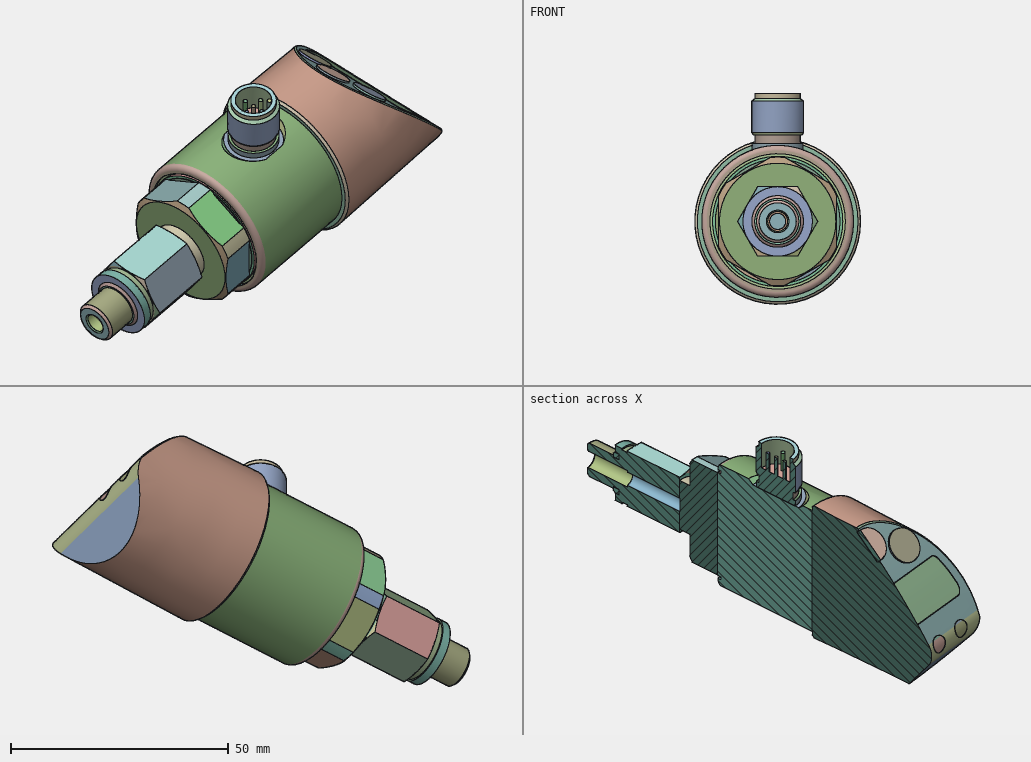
import cadquery as cq
import math


OVERALL_LENGTH = 103.25
FLANGE_START = 8.3
COLLAR_START = 10.4
ADAPTER_HEX_START = 11.9
NECK_START = 27.7
LARGE_HEX_START = 30.6
HOUSING_START = 39.1
HEAD_START = 67.35

PORT_RADIUS = 4.88
PORT_CHAMFER = 0.6
PORT_BORE_RADIUS = 2.3
PORT_BORE_CHAMFER = 0.3
PORT_BORE_DEPTH = 12.0
PILOT_BORE_RADIUS = 1.85
SEAL_GROOVE_RADIUS = 4.2
SEAL_GROOVE_DEPTH = 1.2
SEAL_RADIUS = 5.95
SEAL_LIP_RADIUS = 5.3
SEAL_PROTRUSION = 0.6
FLANGE_RADIUS = 8.0
COLLAR_RADIUS = 7.6
ADAPTER_HEX_FLATS = 16.0
ADAPTER_HEX_BEVEL_HEIGHT = 0.4

NECK_RADIUS = 7.1
LARGE_HEX_FLATS = 27.2
LARGE_HEX_CORNER_RADIUS = 14.8
LARGE_HEX_FACE_RADIUS = 13.4
LARGE_HEX_BEVEL_HEIGHT = 0.8
SHOULDER_RADIUS = 14.35
SHOULDER_HEIGHT = 0.15

HOUSING_RADIUS = 17.5
HOUSING_EDGE_RADIUS = 1.2
END_GROOVE_OUTER_RADIUS = 15.6
END_GROOVE_INNER_RADIUS = 15.0
END_GROOVE_DEPTH = 0.8

CONNECTOR_Y = 56.5
SPOT_FACE_Z = 16.35
SPOT_FACE_RADIUS = 6.9
SPOT_FACE_SLOPE = 1.07
CONNECTOR_TOP_Z = 29.505
CONNECTOR_RADIUS = 6.0
CONNECTOR_NECK_RADIUS = 5.24
CONNECTOR_BASE_RADIUS = 5.87
BASE_TOP_Z = 17.9
SLEEVE_BOTTOM_Z = 19.9
SLEEVE_TOP_Z = 28.3
SLEEVE_CHAMFER_HEIGHT = 0.6
SOCKET_RADIUS = 4.2
SOCKET_DEPTH = 7.0
PIN_RADIUS = 0.5
PIN_LENGTH = 5.0
PIN_OFFSET = 2.5
KEY_RADIUS = 0.55
KEY_DISTANCE = 3.7
KEY_TOP_GAP = 0.5

HEAD_RADIUS = 19.105
HEAD_TIP_RADIUS = 18.5
HEAD_EDGE_CHAMFER = 0.6
PANEL_ARC_RADIUS = 136.0
PANEL_START_Y = 80.8
PANEL_START_Z = 19.0
PANEL_START_TILT = math.radians(40.9)
PANEL_MIDDLE_TILT = math.radians(47.0)
PANEL_CHAMFER = 0.3
TIP_ROUND_RADIUS = 5.0
CHIN_TILT = math.radians(126.0)

WINDOW_Y_LOW = 91.85
WINDOW_Y_HIGH = 99.0
WINDOW_HALF_WIDTH_LOW = 14.4
WINDOW_HALF_WIDTH_MID = 15.7
WINDOW_HALF_WIDTH_HIGH = 16.1
WINDOW_CORNER_RADIUS = 1.5
WINDOW_DEPTH = 0.1
LAMP_X = (-10.9, -3.1)
LAMP_Y = 103.05
LAMP_RADIUS = 2.0
LAMP_DEPTH = 0.1
LAMP_TOOL_REACH = 2.0
BUTTON_POSITIONS = [(-8.2, 87.9), (0.0, 84.6), (8.2, 87.9)]
BUTTON_RADIUS = 4.2
BUTTON_HEIGHT = 0.45
BUTTON_SEAT_DEPTH = 1.0

TOOL_HALF_WIDTH = 60.0

PANEL_CENTRE_Y = PANEL_START_Y - PANEL_ARC_RADIUS * math.sin(PANEL_START_TILT)
PANEL_CENTRE_Z = PANEL_START_Z - PANEL_ARC_RADIUS * math.cos(PANEL_START_TILT)


def revolve_about_y(points):
    """Turn a closed (radius, y) outline about the main axis."""
    return cq.Workplane("XY").polyline(points).close().revolve(360, (0, 0, 0), (0, 1, 0))


def hexagon(flats, start, end, corner_angle):
    """Hexagonal bar along Y; corner_angle places one corner, measured from +X."""
    corner_radius = flats / math.sqrt(3)
    corners = []
    for i in range(6):
        angle = math.radians(corner_angle + 60 * i)
        corners.append((corner_radius * math.cos(angle), corner_radius * math.sin(angle)))
    plane = cq.Workplane("XZ", origin=(0, start, 0))
    return plane.polyline(corners).close().extrude(-(end - start))


def panel_point(tilt):
    """(y, z) point of the control panel where its normal leans tilt away from Z."""
    y = PANEL_CENTRE_Y + PANEL_ARC_RADIUS * math.sin(tilt)
    z = PANEL_CENTRE_Z + PANEL_ARC_RADIUS * math.cos(tilt)
    return (y, z)


def panel_disc(x, y, radius, low, high):
    """Disc standing normal to the control panel, from height low to height high above it."""
    tilt = math.asin((y - PANEL_CENTRE_Y) / PANEL_ARC_RADIUS)
    z = panel_point(tilt)[1]
    normal = cq.Vector(0, math.sin(tilt), math.cos(tilt))
    plane = cq.Plane(origin=cq.Vector(x, y, z) + normal * low, xDir=(1, 0, 0), normal=normal)
    return cq.Workplane(plane).circle(radius).extrude(high - low)


def panel_cylinder(radius):
    """Cylinder sharing the axis of the control panel."""
    plane = cq.Workplane("YZ", origin=(-TOOL_HALF_WIDTH, 0, 0))
    return plane.center(PANEL_CENTRE_Y, PANEL_CENTRE_Z).circle(radius).extrude(2 * TOOL_HALF_WIDTH)


def make_seal_ring():
    groove_floor = FLANGE_START + SEAL_GROOVE_DEPTH
    return revolve_about_y([
        (SEAL_GROOVE_RADIUS, groove_floor),
        (SEAL_RADIUS, groove_floor),
        (SEAL_RADIUS, FLANGE_START),
        (SEAL_LIP_RADIUS, FLANGE_START - SEAL_PROTRUSION),
        (SEAL_GROOVE_RADIUS, FLANGE_START - SEAL_PROTRUSION),
    ])


def make_adapter(seal_ring):
    turned = revolve_about_y([
        (0, 0),
        (PORT_RADIUS - PORT_CHAMFER, 0),
        (PORT_RADIUS, PORT_CHAMFER),
        (PORT_RADIUS, FLANGE_START),
        (FLANGE_RADIUS, FLANGE_START),
        (FLANGE_RADIUS, COLLAR_START),
        (COLLAR_RADIUS, COLLAR_START),
        (COLLAR_RADIUS, ADAPTER_HEX_START),
        (0, ADAPTER_HEX_START),
    ])
    face_radius = ADAPTER_HEX_FLATS / 2
    corner_radius = ADAPTER_HEX_FLATS / math.sqrt(3)
    bevel = revolve_about_y([
        (0, ADAPTER_HEX_START),
        (face_radius, ADAPTER_HEX_START),
        (corner_radius, ADAPTER_HEX_START + ADAPTER_HEX_BEVEL_HEIGHT),
        (corner_radius, NECK_START - ADAPTER_HEX_BEVEL_HEIGHT),
        (face_radius, NECK_START),
        (0, NECK_START),
    ])
    hex_body = hexagon(ADAPTER_HEX_FLATS, ADAPTER_HEX_START, NECK_START, 0).intersect(bevel)
    bore = revolve_about_y([
        (0, 0),
        (PORT_BORE_RADIUS + PORT_BORE_CHAMFER, 0),
        (PORT_BORE_RADIUS, PORT_BORE_CHAMFER),
        (PORT_BORE_RADIUS, PORT_BORE_DEPTH),
        (PILOT_BORE_RADIUS, PORT_BORE_DEPTH),
        (PILOT_BORE_RADIUS, NECK_START),
        (0, NECK_START),
    ])
    return turned.union(hex_body).cut(bore).cut(seal_ring)


def make_process_fitting():
    neck = revolve_about_y([
        (0, NECK_START),
        (NECK_RADIUS, NECK_START),
        (NECK_RADIUS, LARGE_HEX_START),
        (0, LARGE_HEX_START),
    ])
    blank = revolve_about_y([
        (0, LARGE_HEX_START),
        (LARGE_HEX_FACE_RADIUS, LARGE_HEX_START),
        (LARGE_HEX_CORNER_RADIUS, LARGE_HEX_START + LARGE_HEX_BEVEL_HEIGHT),
        (LARGE_HEX_CORNER_RADIUS, HOUSING_START),
        (0, HOUSING_START),
    ])
    hex_body = hexagon(LARGE_HEX_FLATS, LARGE_HEX_START, HOUSING_START, 30).intersect(blank)
    shoulder_start = HOUSING_START - SHOULDER_HEIGHT
    shoulder = revolve_about_y([
        (0, shoulder_start),
        (SHOULDER_RADIUS, shoulder_start),
        (SHOULDER_RADIUS, HOUSING_START),
        (0, HOUSING_START),
    ])
    return neck.union(hex_body).union(shoulder)


def make_spot_face():
    """Flat-bottomed countersink in the housing around the connector."""
    rise = HOUSING_RADIUS + 1 - SPOT_FACE_Z
    top_radius = SPOT_FACE_RADIUS + SPOT_FACE_SLOPE * rise
    profile = [(0, 0), (SPOT_FACE_RADIUS, 0), (top_radius, rise), (0, rise)]
    cutter = cq.Workplane("XZ").polyline(profile).close().revolve(360, (0, 0, 0), (0, 1, 0))
    return cutter.translate((0, CONNECTOR_Y, SPOT_FACE_Z))


def make_housing():
    housing = cq.Workplane("XZ", origin=(0, HOUSING_START, 0))
    housing = housing.circle(HOUSING_RADIUS).extrude(-(HEAD_START - HOUSING_START))
    housing = housing.faces("<Y").edges().fillet(HOUSING_EDGE_RADIUS)
    groove_floor = HOUSING_START + END_GROOVE_DEPTH
    end_groove = revolve_about_y([
        (END_GROOVE_INNER_RADIUS, HOUSING_START),
        (END_GROOVE_OUTER_RADIUS, HOUSING_START),
        (END_GROOVE_OUTER_RADIUS, groove_floor),
        (END_GROOVE_INNER_RADIUS, groove_floor),
    ])
    return housing.cut(end_groove).cut(make_spot_face())


def make_connector():
    sleeve_step = CONNECTOR_RADIUS - CONNECTOR_NECK_RADIUS
    socket_floor = CONNECTOR_TOP_Z - SOCKET_DEPTH
    profile = [
        (0, SPOT_FACE_Z),
        (CONNECTOR_BASE_RADIUS, SPOT_FACE_Z),
        (CONNECTOR_BASE_RADIUS, BASE_TOP_Z),
        (CONNECTOR_NECK_RADIUS, BASE_TOP_Z),
        (CONNECTOR_NECK_RADIUS, SLEEVE_BOTTOM_Z),
        (CONNECTOR_NECK_RADIUS + sleeve_step / 2, SLEEVE_BOTTOM_Z),
        (CONNECTOR_RADIUS, SLEEVE_BOTTOM_Z + SLEEVE_CHAMFER_HEIGHT),
        (CONNECTOR_RADIUS, SLEEVE_TOP_Z - SLEEVE_CHAMFER_HEIGHT),
        (CONNECTOR_NECK_RADIUS, SLEEVE_TOP_Z),
        (CONNECTOR_NECK_RADIUS, CONNECTOR_TOP_Z),
        (SOCKET_RADIUS, CONNECTOR_TOP_Z),
        (SOCKET_RADIUS, socket_floor),
        (0, socket_floor),
    ]
    connector = cq.Workplane("XZ").polyline(profile).close().revolve(360, (0, 0, 0), (0, 1, 0))
    floor = cq.Workplane("XY", origin=(0, 0, socket_floor))
    pin_places = [
        (0, 0),
        (PIN_OFFSET, 0),
        (-PIN_OFFSET, 0),
        (0, PIN_OFFSET),
        (0, -PIN_OFFSET),
    ]
    pins = floor.pushPoints(pin_places).circle(PIN_RADIUS).extrude(PIN_LENGTH)
    key_side = KEY_DISTANCE * math.sqrt(0.5)
    key = floor.center(key_side, key_side).circle(KEY_RADIUS).extrude(SOCKET_DEPTH - KEY_TOP_GAP)
    return connector.union(pins).union(key).translate((0, CONNECTOR_Y, 0))


def make_head_side_profile():
    """Side outline of the head: curved panel, rounded tip and slanted chin."""
    tip_y = OVERALL_LENGTH - TIP_ROUND_RADIUS
    inner_radius = PANEL_ARC_RADIUS - TIP_ROUND_RADIUS
    end_tilt = math.asin((tip_y - PANEL_CENTRE_Y) / inner_radius)
    tip_z = PANEL_CENTRE_Z + inner_radius * math.cos(end_tilt)
    first_tilt = PANEL_START_TILT / 2
    first_point = panel_point(first_tilt)
    chin_start = (
        tip_y + TIP_ROUND_RADIUS * math.sin(CHIN_TILT),
        tip_z + TIP_ROUND_RADIUS * math.cos(CHIN_TILT),
    )
    chin_end_z = -HEAD_RADIUS - 1
    chin_end_y = chin_start[0] + (chin_start[1] - chin_end_z) / math.tan(CHIN_TILT)
    outline = (
        cq.Workplane("YZ", origin=(-TOOL_HALF_WIDTH, 0, 0))
        .moveTo(*first_point)
        .threePointArc(panel_point((first_tilt + end_tilt) / 2), panel_point(end_tilt))
        .threePointArc((OVERALL_LENGTH, tip_z), chin_start)
        .lineTo(chin_end_y, chin_end_z)
        .lineTo(HEAD_START - 1, chin_end_z)
        .lineTo(HEAD_START - 1, first_point[1])
        .close()
    )
    return outline.extrude(2 * TOOL_HALF_WIDTH)


def make_window_recess():
    """Shallow recess of even depth following the curved panel."""
    middle_y = (WINDOW_Y_LOW + WINDOW_Y_HIGH) / 2
    outline = (
        cq.Workplane("XY", origin=(0, 0, -HEAD_RADIUS))
        .moveTo(-WINDOW_HALF_WIDTH_LOW, WINDOW_Y_LOW)
        .lineTo(WINDOW_HALF_WIDTH_LOW, WINDOW_Y_LOW)
        .threePointArc((WINDOW_HALF_WIDTH_MID, middle_y), (WINDOW_HALF_WIDTH_HIGH, WINDOW_Y_HIGH))
        .lineTo(-WINDOW_HALF_WIDTH_HIGH, WINDOW_Y_HIGH)
        .threePointArc((-WINDOW_HALF_WIDTH_MID, middle_y), (-WINDOW_HALF_WIDTH_LOW, WINDOW_Y_LOW))
        .close()
    )
    prism = outline.extrude(2 * HEAD_RADIUS).edges("|Z").fillet(WINDOW_CORNER_RADIUS)
    return prism.cut(panel_cylinder(PANEL_ARC_RADIUS - WINDOW_DEPTH))


def make_lamp_recess(x, side_profile):
    """Shallow round recess of even depth that follows the panel and the rounded tip."""
    disc = panel_disc(x, LAMP_Y, LAMP_RADIUS, -LAMP_TOOL_REACH, LAMP_TOOL_REACH)
    tilt = math.asin((LAMP_Y - PANEL_CENTRE_Y) / PANEL_ARC_RADIUS)
    inward = (0, -LAMP_DEPTH * math.sin(tilt), -LAMP_DEPTH * math.cos(tilt))
    return disc.cut(side_profile.translate(inward))


def make_buttons():
    return [
        panel_disc(x, y, BUTTON_RADIUS, -BUTTON_SEAT_DEPTH, BUTTON_HEIGHT)
        for x, y in BUTTON_POSITIONS
    ]


def make_head(buttons):
    blank = revolve_about_y([
        (0, HEAD_START),
        (HEAD_RADIUS - HEAD_EDGE_CHAMFER, HEAD_START),
        (HEAD_RADIUS, HEAD_START + HEAD_EDGE_CHAMFER),
        (HEAD_TIP_RADIUS, OVERALL_LENGTH),
        (0, OVERALL_LENGTH),
    ])
    sloped = blank.intersect(panel_cylinder(PANEL_ARC_RADIUS))
    panel_middle = panel_point(PANEL_MIDDLE_TILT)
    panel_face = sloped.faces(cq.selectors.NearestToPointSelector((0, *panel_middle)))
    sloped = panel_face.edges().chamfer(PANEL_CHAMFER)
    side_profile = make_head_side_profile()
    head = sloped.intersect(side_profile)
    head = head.cut(make_window_recess())
    for x in LAMP_X:
        head = head.cut(make_lamp_recess(x, side_profile))
    for button in buttons:
        head = head.cut(button)
    return head


seal_ring = make_seal_ring()
adapter = make_adapter(seal_ring)
process_fitting = make_process_fitting()
housing = make_housing()
connector = make_connector()
buttons = make_buttons()
head = make_head(buttons)

result = cq.Compound.makeCompound([
    seal_ring.val(),
    adapter.val(),
    process_fitting.val(),
    housing.val(),
    connector.val(),
    head.val(),
    *[button.val() for button in buttons],
])